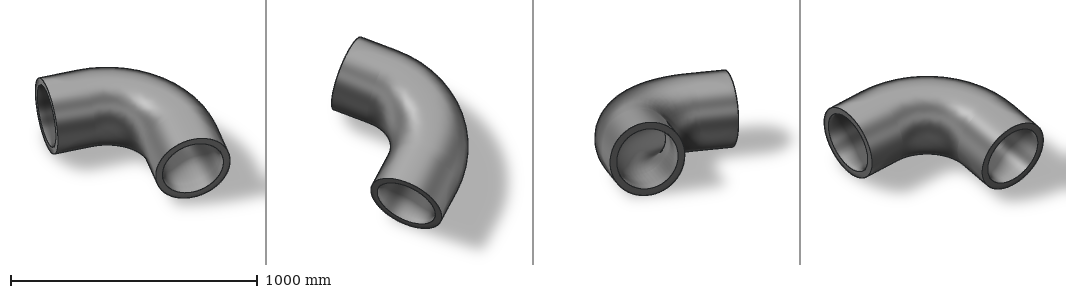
import cadquery as cq

overall_length = 632.5
outer_diameter = 315.0
wall_thickness = 28.5

bend_radius = outer_diameter
outer_radius = outer_diameter / 2
inner_radius = outer_radius - wall_thickness
spigot_length = overall_length - bend_radius - outer_radius
bend_angle = 90


def ring_section(plane):
    """Annular pipe cross-section centred on the given plane."""
    return cq.Workplane(plane).circle(outer_radius).circle(inner_radius)


spigot_y = ring_section("XZ").extrude(spigot_length)

bend = ring_section("XZ").revolve(bend_angle, (bend_radius, 6.5, 0), (bend_radius, 0, 0))

bend_end = cq.Plane(origin=(bend_radius, bend_radius, 0), xDir=(0, 1, 0), normal=(1, 0, 0))
spigot_x = ring_section(bend_end).extrude(spigot_length)

result = spigot_y.union(bend).union(spigot_x)